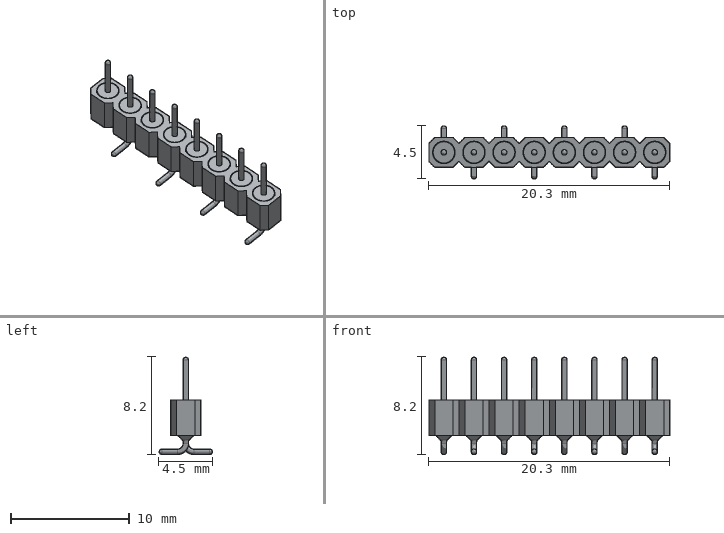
import cadquery as cq
import math

pin_count = 8
row_length = 20.32
pitch = row_length / pin_count
pin_positions = [(i - (pin_count - 1) / 2) * pitch for i in range(pin_count)]

housing_height = 3.0
corner_chamfer = 0.5

head_diameter = 1.8
head_hole_diameter = 1.89
head_gap_depth = 0.5

pin_radius = 0.47 / 2
shaft_height = 3.6
collar_radius = 1.35 / 2
cone_fillet = 0.25
tail_drop = 1.6
tail_span = 4.5
bend_radius = 0.7

shaft_tip_z = housing_height + shaft_height
tail_axis_z = pin_radius - tail_drop
bend_start_z = tail_axis_z + bend_radius
tail_tip_centre_y = tail_span / 2 - pin_radius


def make_cell():
    """One housing cell with the ring gap in its top face."""
    block = (
        cq.Workplane("XY")
        .rect(pitch, pitch)
        .extrude(housing_height)
        .edges("|Z")
        .chamfer(corner_chamfer)
    )
    gap = (
        cq.Workplane("XY", origin=(0, 0, housing_height - head_gap_depth))
        .circle(head_hole_diameter / 2)
        .circle(head_diameter / 2)
        .extrude(head_gap_depth)
    )
    return block.cut(gap)


def make_shaft():
    """Turned part of a pin: round tip, straight shaft, cone and blend, down to the bend."""
    half_slope = math.radians(45) / 2
    fillet_tangent = cone_fillet * math.tan(half_slope)
    cone_corner_z = pin_radius - collar_radius
    cone_tangent = fillet_tangent * math.cos(2 * half_slope)
    cone_end = (pin_radius + cone_tangent, cone_corner_z + cone_tangent)
    blend_end = (pin_radius, cone_corner_z - fillet_tangent)
    blend_middle = (
        pin_radius + cone_fillet * (1 - math.cos(half_slope)),
        blend_end[1] + cone_fillet * math.sin(half_slope),
    )
    tip_arc = pin_radius * math.sqrt(0.5)
    tip_base_z = shaft_tip_z - pin_radius
    return (
        cq.Workplane("XZ")
        .moveTo(0, bend_start_z)
        .lineTo(pin_radius, bend_start_z)
        .lineTo(*blend_end)
        .threePointArc(blend_middle, cone_end)
        .lineTo(collar_radius, 0)
        .lineTo(pin_radius, 0)
        .lineTo(pin_radius, tip_base_z)
        .threePointArc((tip_arc, tip_base_z + tip_arc), (0, shaft_tip_z))
        .close()
        .revolve(360, (0, 0), (0, 1))
    )


def make_tail():
    """Quarter bend and horizontal tail with a round tip, pointing toward +Y."""
    path = (
        cq.Workplane("YZ")
        .moveTo(0, bend_start_z)
        .radiusArc((bend_radius, tail_axis_z), -bend_radius)
        .lineTo(tail_tip_centre_y, tail_axis_z)
    )
    rod = cq.Workplane("XY", origin=(0, 0, bend_start_z)).circle(pin_radius).sweep(path)
    tip = cq.Workplane("XY").sphere(pin_radius).translate((0, tail_tip_centre_y, tail_axis_z))
    return rod.union(tip)


def make_position(tail_angle):
    """One cell with its pin; tail_angle turns the tail about the pin axis."""
    tail = make_tail().rotate((0, 0, 0), (0, 0, 1), tail_angle)
    return make_cell().union(make_shaft()).union(tail)


plus_y_position = make_position(0)
minus_y_position = make_position(180)

result = cq.Workplane("XY")
for index, x in enumerate(pin_positions):
    position = plus_y_position if index % 2 == 0 else minus_y_position
    result = result.union(position.translate((x, 0, 0)))
result = result.clean()